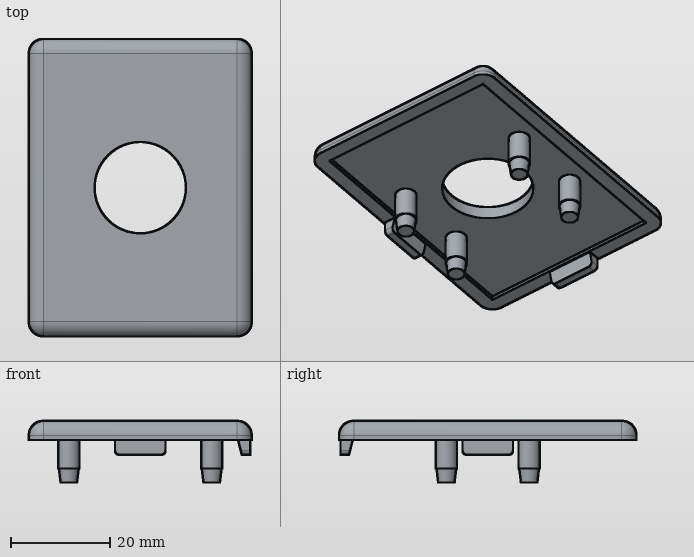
import cadquery as cq

plate_width = 45.0
plate_length = 60.0
plate_height = 3.9
edge_radius = 3.0
bore_diameter = 18.35

rim_width = 3.0
recess_depth = 0.9

total_height = 12.5
peg_length = total_height - plate_height
peg_diameter = 4.3
peg_spacing_x = 28.8
peg_spacing_y = 16.7
tip_length = 2.9
tip_base_diameter = 4.1
tip_end_diameter = 3.35

tab_width = 10.2
tab_drop = 3.0
tab_inset = 0.3
tab_root_thickness = 2.5
tab_end_thickness = 1.75
tab_corner_radius = 0.9


def make_plate():
    """Round-edged plate with a central bore and a shallow recess underneath."""
    plate = (
        cq.Workplane("XY")
        .rect(plate_width, plate_length)
        .extrude(plate_height)
        .edges("|Z")
        .fillet(edge_radius)
        .faces(">Z")
        .edges()
        .fillet(edge_radius)
    )
    recess = (
        cq.Workplane("XY")
        .rect(plate_width - 2 * rim_width, plate_length - 2 * rim_width)
        .extrude(recess_depth)
    )
    bore = cq.Workplane("XY").circle(bore_diameter / 2).extrude(plate_height)
    return plate.cut(recess).cut(bore)


def make_peg():
    """Peg on the Z axis, from the recess floor down to its tapered tip."""
    shank_end = tip_length - peg_length
    return (
        cq.Workplane("XZ")
        .moveTo(0, recess_depth)
        .lineTo(peg_diameter / 2, recess_depth)
        .lineTo(peg_diameter / 2, shank_end)
        .lineTo(tip_base_diameter / 2, shank_end)
        .lineTo(tip_end_diameter / 2, -peg_length)
        .lineTo(0, -peg_length)
        .close()
        .revolve(360, (0, 0, 0), (0, 1, 0))
    )


def make_tab(side_distance):
    """Tab under the +X rim, whose outer side lies side_distance from the centre."""
    outer = side_distance - tab_inset
    return (
        cq.Workplane("XZ")
        .moveTo(outer, 0)
        .lineTo(outer, -tab_drop)
        .lineTo(outer - tab_end_thickness, -tab_drop)
        .lineTo(outer - tab_root_thickness, 0)
        .close()
        .extrude(tab_width / 2, both=True)
        .faces("<Z")
        .edges("|X")
        .fillet(tab_corner_radius)
    )


result = make_plate()
peg = make_peg()
for x in (-peg_spacing_x / 2, peg_spacing_x / 2):
    for y in (-peg_spacing_y / 2, peg_spacing_y / 2):
        result = result.union(peg.translate((x, y, 0)))
result = result.union(make_tab(plate_width / 2))
front_tab = make_tab(plate_length / 2).rotate((0, 0, 0), (0, 0, 1), -90)
result = result.union(front_tab)